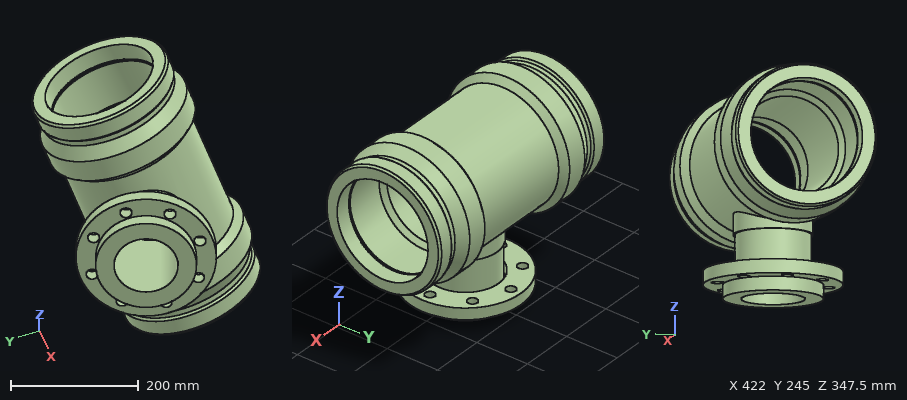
import cadquery as cq

length = 422.0
half_length = length / 2
bulge_diameter = 245.0
barrel_diameter = 220.0
rim_diameter = 228.0
face_diameter = 221.0
neck_diameter = 220.5

rim_start = 4.2
rim_end = 29.5
neck_start = 33.5
neck_end = 42.5
bulge_start = 64.5
bulge_end = 103.0
barrel_start = 114.8

socket_bore = 180.0
barrel_bore = 162.0
groove_diameter = 184.5
bore_taper_start = 106.8
bore_taper_end = 115.0

overall_height = 347.5
branch_end_z = bulge_diameter / 2 - overall_height
branch_diameter = 120.0
branch_bore = 100.0
collar_diameter = 125.0
collar_height = 101.5
stub_diameter = 158.0
stub_height = 22.0

flange_diameter = 220.0
flange_thickness = 22.0
flange_bore = 130.0
bolt_count = 8
bolt_hole_diameter = 18.0
bolt_circle_diameter = 180.0


def revolve_symmetric(stations):
    """Revolve (distance from open end, diameter) stations, mirrored at X = 0, about the X axis."""
    left = [(distance - half_length, diameter / 2) for distance, diameter in stations]
    right = [(-x, radius) for x, radius in reversed(left)]
    outline = [(-half_length, 0)] + left + right + [(half_length, 0)]
    return cq.Workplane("XY").polyline(outline).close().revolve(360, (0, 0, 0), (1, 0, 0))


def vertical_cylinder(diameter, bottom_height, top_z):
    """Cylinder on the branch axis from a height above the branch end up to a Z level."""
    bottom_z = branch_end_z + bottom_height
    return cq.Workplane("XY").workplane(offset=bottom_z).circle(diameter / 2).extrude(top_z - bottom_z)


def make_pipe_outside():
    return revolve_symmetric([
        (0, face_diameter),
        (rim_start, rim_diameter),
        (rim_end, rim_diameter),
        (neck_start, neck_diameter),
        (neck_end, neck_diameter),
        (bulge_start, bulge_diameter),
        (bulge_end, bulge_diameter),
        (barrel_start, barrel_diameter),
    ])


def make_pipe_bore():
    """Both socket bores with their shallow grooves, tapering to the barrel bore."""
    return revolve_symmetric([
        (0, socket_bore),
        (rim_end, socket_bore),
        (rim_end, groove_diameter),
        (neck_start, groove_diameter),
        (neck_start, socket_bore),
        (bore_taper_start, socket_bore),
        (bore_taper_end, barrel_bore),
    ])


def make_branch():
    """Saddle collar, branch tube and stub end, running up to the pipe axis."""
    stub = vertical_cylinder(stub_diameter, 0, branch_end_z + stub_height)
    tube = vertical_cylinder(branch_diameter, 0, 0)
    collar = vertical_cylinder(collar_diameter, collar_height, 0)
    return stub.union(tube).union(collar)


def make_flange():
    return (
        cq.Workplane("XY").workplane(offset=branch_end_z + stub_height)
        .circle(flange_diameter / 2).circle(flange_bore / 2).extrude(flange_thickness)
        .faces(">Z").workplane(origin=(0, 0, 0))
        .polarArray(bolt_circle_diameter / 2, 0, 360, bolt_count)
        .hole(bolt_hole_diameter)
    )


result = (
    make_pipe_outside()
    .union(make_branch())
    .union(make_flange())
    .cut(make_pipe_bore())
    .cut(vertical_cylinder(branch_bore, 0, 0))
)